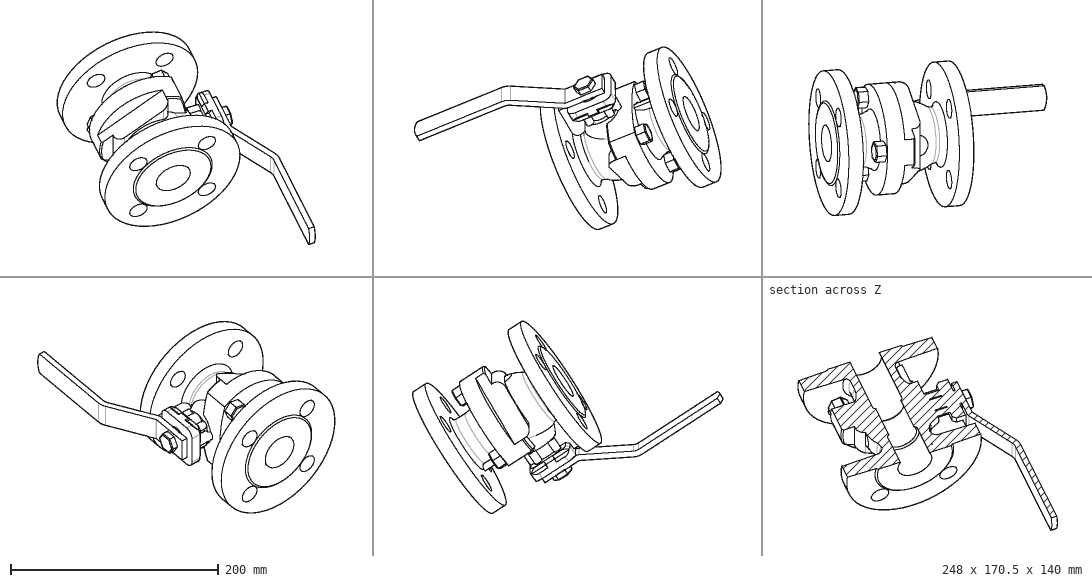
import cadquery as cq
import math

LENGTH = 130.0
OVERALL_Y = 170.5
BORE_RADIUS = 17.5
BALL_BORE_RADIUS = 15.9
BALL_BORE_START = 59.5
BALL_BORE_END = 96.7
BORE_STEP = BORE_RADIUS - BALL_BORE_RADIUS

FLANGE_RADIUS = 140.0 / 2
RAISED_FACE_RADIUS = 39.0
RAISED_FOOT_RADIUS = 41.0
RAISED_FACE_HEIGHT = 1.5
FLANGE_RIM_START = 2.2
FLANGE_RIM_END = 16.9
FLANGE_BACK = 17.8
FLANGE_HOLE_RADIUS = 9.0
FLANGE_HOLE_OFFSET = 35.5
FLANGE_HOLE_DEPTH = 24.8

NECK_RADIUS = 25.3
NECK_FILLET = 4.5
NECK_END = 32.7
BALL_CENTER = 81.3
BALL_RADIUS = 34.7
WAIST_X = 105.5
WAIST_RADIUS = 27.0
BALL_END = 101.6
BALL_FLAT = 33.0
THROAT_RADIUS = 31.7

CAP_START = 45.5
CAP_END = 63.5
CAP_RADIUS = 107.3 / 2
LUG_END = 73.9
LUG_CHAMFER = 1.5
PAD_END = 84.3
FLAT_DISTANCE = 37.2
STEM_SIDE_CREST = 37.2
STEM_SIDE_EDGE = 31.2
PAD_TOP = 15.0
PAD_BOTTOM = -40.2
PAD_ROUND_LENGTH = 10.0
PAD_ROUND_HEIGHT = 7.5
ROUND_SHOULDER = math.sqrt(0.5)

BOLT_CIRCLE_RADIUS = 42.5
BOLT_ANGLES = (60, 180, 300)
BOLT_HEAD_START = 35.2
BOLT_ACROSS_CORNERS = 20.0
BOLT_TURN = 70.0
HEX_CHAMFER = 1.0

STEM_X = 77.8
COLLAR_BASE = 19.8
COLLAR_BASE_RADIUS = 26.8
COLLAR_TOP = 39.5
COLLAR_TOP_RADIUS = 17.0
STEM_CORE_RADIUS = 11.5
BOSS_RADIUS = 7.0
BOSS_TOP = 50.3
POST_RADIUS = 4.0
POST_OFFSET = 11.0
CAP_SIDE_POST_RADIUS = 5.2
CAP_SIDE_POST_OFFSET = 15.9
MOUNT_WIDTH = 46.5
MOUNT_CORNER = 8.2
MOUNT_BOTTOM = 51.5
MOUNT_TOP = 64.5
MOUNT_CHAMFER = 3.2
RELIEF_TOP = 58.5
RELIEF_DEPTH = 3.0
RELIEF_GAP = 10.2
SPACER_RADIUS = 12.5

LEVER_START = 60.5
LEVER_END = 248.0
LEVER_WIDTH = 24.5
LEVER_THICKNESS = 6.0
LEVER_BOTTOM = 66.0
LEVER_TOP = OVERALL_Y - FLANGE_RADIUS
LEVER_ANGLE = 30.0
LEVER_FIRST_BEND = 101.0
FIRST_BEND_RADIUS = 1.2
SECOND_BEND_RADIUS = 10.5
LEVER_END_BULGE = 2.7
NUT_ACROSS_CORNERS = 21.0
NUT_HEIGHT = 6.5

RIB_THICKNESS = 6.0
CAP_RIB_HEIGHT = 32.0
BODY_RIB_START = 89.2
BODY_RIB_HEIGHT = 61.5


def turned(outline):
    """Revolve a closed outline in X and radius about the bore axis."""
    return outline.close().revolve(360, (0, 0, 0), (1, 0, 0))


def end_flange():
    """Near-end flange with raised face and four bolt holes."""
    flange = turned(
        cq.Workplane("XY")
        .moveTo(0, 0)
        .lineTo(0, RAISED_FACE_RADIUS)
        .lineTo(RAISED_FACE_HEIGHT, RAISED_FOOT_RADIUS)
        .lineTo(FLANGE_RIM_START, FLANGE_RADIUS)
        .lineTo(FLANGE_RIM_END, FLANGE_RADIUS)
        .lineTo(FLANGE_BACK, NECK_RADIUS)
        .lineTo(FLANGE_BACK, 0)
    )
    holes = (
        cq.Workplane("YZ")
        .rect(2 * FLANGE_HOLE_OFFSET, 2 * FLANGE_HOLE_OFFSET, forConstruction=True)
        .vertices()
        .circle(FLANGE_HOLE_RADIUS)
        .extrude(FLANGE_HOLE_DEPTH)
    )
    return flange.cut(holes)


def cap_neck():
    """Neck from the near flange to the end cap, flared at both ends."""
    flare_length = CAP_START - NECK_END
    flare_radius = (flare_length ** 2 + NECK_FILLET ** 2) / (2 * NECK_FILLET)
    return turned(
        cq.Workplane("XY")
        .moveTo(FLANGE_BACK, 0)
        .lineTo(FLANGE_BACK, NECK_RADIUS + NECK_FILLET)
        .radiusArc((FLANGE_BACK + NECK_FILLET, NECK_RADIUS), -NECK_FILLET)
        .lineTo(NECK_END, NECK_RADIUS)
        .radiusArc((CAP_START, NECK_RADIUS + NECK_FILLET), -flare_radius)
        .lineTo(CAP_START, 0)
    )


def ball_housing():
    """Spherical body with a small flat, narrowing to a waist and flaring out to the far flange."""
    def ball_height(x):
        return math.sqrt(BALL_RADIUS ** 2 - (x - BALL_CENTER) ** 2)

    housing = turned(
        cq.Workplane("XY")
        .moveTo(CAP_END, 0)
        .lineTo(CAP_END, ball_height(CAP_END))
        .threePointArc((BALL_CENTER, BALL_RADIUS), (BALL_END, ball_height(BALL_END)))
        .lineTo(WAIST_X, WAIST_RADIUS)
        .radiusArc((LENGTH - FLANGE_BACK, THROAT_RADIUS), -(LENGTH - FLANGE_BACK - WAIST_X))
        .lineTo(LENGTH - FLANGE_BACK, 0)
    )
    waste = cq.Workplane("XZ", origin=(BALL_CENTER, -BALL_FLAT, 0)).circle(BALL_RADIUS / 2)
    return housing.cut(waste.extrude(BALL_RADIUS - BALL_FLAT))


def stem_side_disc(start, end):
    """Round disc flattened to a shallow arc on the stem side."""
    edge_z = math.sqrt(CAP_RADIUS ** 2 - STEM_SIDE_EDGE ** 2)
    return (
        cq.Workplane("YZ", origin=(start, 0, 0))
        .moveTo(STEM_SIDE_EDGE, -edge_z)
        .threePointArc((STEM_SIDE_CREST, 0), (STEM_SIDE_EDGE, edge_z))
        .threePointArc((-CAP_RADIUS, 0), (STEM_SIDE_EDGE, -edge_z))
        .close()
        .extrude(end - start)
    )


def with_flats(disc):
    """Cut the two slanted flats that leave the bolt lugs standing."""
    size = 4 * CAP_RADIUS
    for angle in (120, 240):
        waste = (
            cq.Workplane("XY")
            .box(size, size, size)
            .translate((0, FLAT_DISTANCE + size / 2, 0))
            .rotate((0, 0, 0), (1, 0, 0), angle)
        )
        disc = disc.cut(waste)
    return disc


def body_joint():
    """Lobed body flange with thicker pads, rounded towards the ball."""
    round_start = PAD_END - PAD_ROUND_LENGTH
    shoulder_x = round_start + PAD_ROUND_LENGTH * ROUND_SHOULDER
    shoulder_drop = PAD_ROUND_HEIGHT * (1 - ROUND_SHOULDER)
    limits = (
        cq.Workplane("XY", origin=(0, 0, -CAP_RADIUS))
        .moveTo(CAP_END, PAD_BOTTOM)
        .lineTo(round_start, PAD_BOTTOM)
        .threePointArc((shoulder_x, PAD_BOTTOM + shoulder_drop), (PAD_END, PAD_BOTTOM + PAD_ROUND_HEIGHT))
        .lineTo(PAD_END, PAD_TOP - PAD_ROUND_HEIGHT)
        .threePointArc((shoulder_x, PAD_TOP - shoulder_drop), (round_start, PAD_TOP))
        .lineTo(CAP_END, PAD_TOP)
        .close()
        .extrude(2 * CAP_RADIUS)
    )
    lugs = with_flats(stem_side_disc(CAP_END, LUG_END).faces(">X").chamfer(LUG_CHAMFER))
    pads = with_flats(stem_side_disc(CAP_END, PAD_END)).intersect(limits)
    return lugs.union(pads)


def joint_bolt(angle):
    """Hexagon head standing on the end cap."""
    y = BOLT_CIRCLE_RADIUS * math.cos(math.radians(angle))
    z = BOLT_CIRCLE_RADIUS * math.sin(math.radians(angle))
    return (
        cq.Workplane("YZ")
        .polygon(6, BOLT_ACROSS_CORNERS)
        .extrude(CAP_START - BOLT_HEAD_START)
        .faces("<X")
        .chamfer(HEX_CHAMFER)
        .rotate((0, 0, 0), (1, 0, 0), BOLT_TURN)
        .translate((BOLT_HEAD_START, y, z))
    )


def stem_plane(height):
    """Plane across the stem axis; extrude by a negative length to go up the stem."""
    return cq.Workplane("XZ", origin=(STEM_X, height, 0))


def mounting_flange():
    """Square flange with rounded corners, chamfered below and relieved on the Z faces."""
    flange = (
        stem_plane(MOUNT_BOTTOM)
        .rect(MOUNT_WIDTH, MOUNT_WIDTH)
        .extrude(MOUNT_BOTTOM - MOUNT_TOP)
        .edges("|Y")
        .fillet(MOUNT_CORNER)
        .faces("<Y")
        .chamfer(MOUNT_CHAMFER)
    )
    face_z = MOUNT_WIDTH / 2
    relief = (
        cq.Workplane("YZ", origin=(STEM_X, 0, 0))
        .moveTo(RELIEF_TOP, face_z)
        .lineTo(RELIEF_TOP - RELIEF_DEPTH, face_z - RELIEF_DEPTH)
        .lineTo(MOUNT_BOTTOM, face_z - RELIEF_DEPTH)
        .lineTo(MOUNT_BOTTOM, face_z)
        .close()
        .extrude(MOUNT_WIDTH / 2)
        .translate((RELIEF_GAP / 2, 0, 0))
    )
    for angle in (0, 180):
        turned_relief = relief.rotate((STEM_X, 0, 0), (STEM_X, 1, 0), angle)
        opposite_relief = turned_relief.mirror("XY")
        flange = flange.cut(turned_relief).cut(opposite_relief)
    return flange


def stem_column():
    """Conical collar, core, bosses and posts carrying the mounting flange."""
    collar = (
        cq.Workplane("XY")
        .moveTo(STEM_X, COLLAR_BASE)
        .lineTo(STEM_X + COLLAR_BASE_RADIUS, COLLAR_BASE)
        .lineTo(STEM_X + COLLAR_TOP_RADIUS, COLLAR_TOP)
        .lineTo(STEM_X, COLLAR_TOP)
        .close()
        .revolve(360, (STEM_X, 0, 0), (STEM_X, 1, 0))
    )
    core = stem_plane(COLLAR_BASE).circle(STEM_CORE_RADIUS).extrude(COLLAR_BASE - MOUNT_TOP)
    front_boss = (
        stem_plane(COLLAR_BASE)
        .center(0, COLLAR_TOP_RADIUS - BOSS_RADIUS)
        .circle(BOSS_RADIUS)
        .extrude(COLLAR_BASE - BOSS_TOP)
    )
    cap_side_post = (
        stem_plane(COLLAR_BASE)
        .center(-CAP_SIDE_POST_OFFSET, 0)
        .circle(CAP_SIDE_POST_RADIUS)
        .extrude(COLLAR_BASE - MOUNT_TOP)
    )
    corner_posts = (
        stem_plane(COLLAR_TOP)
        .rect(2 * POST_OFFSET, 2 * POST_OFFSET, forConstruction=True)
        .vertices()
        .circle(POST_RADIUS)
        .extrude(COLLAR_TOP - MOUNT_TOP)
    )
    spacer = stem_plane(MOUNT_TOP).circle(SPACER_RADIUS).extrude(MOUNT_TOP - LEVER_BOTTOM)
    column = collar.union(core).union(front_boss).union(cap_side_post)
    return column.union(corner_posts).union(mounting_flange()).union(spacer)


def lever():
    """Flat bar cranked outwards in two bends, with a bowed tip."""
    rise = LEVER_TOP - LEVER_THICKNESS - LEVER_BOTTOM
    run = rise / math.tan(math.radians(LEVER_ANGLE))
    second_bend = LEVER_FIRST_BEND + run
    miter = LEVER_THICKNESS * math.tan(math.radians(LEVER_ANGLE / 2))
    low_top = LEVER_BOTTOM + LEVER_THICKNESS
    high_bottom = LEVER_TOP - LEVER_THICKNESS
    bar = (
        cq.Workplane("XY", origin=(0, 0, -LEVER_WIDTH / 2))
        .moveTo(LEVER_START, LEVER_BOTTOM)
        .lineTo(LEVER_FIRST_BEND + miter / 2, LEVER_BOTTOM)
        .lineTo(second_bend + miter / 2, high_bottom)
        .lineTo(LEVER_END, high_bottom)
        .lineTo(LEVER_END, LEVER_TOP)
        .lineTo(second_bend - miter / 2, LEVER_TOP)
        .lineTo(LEVER_FIRST_BEND - miter / 2, low_top)
        .lineTo(LEVER_START, low_top)
        .close()
        .extrude(LEVER_WIDTH)
    )

    def bend_edge(x, y):
        return cq.selectors.NearestToPointSelector((x, y, 0))

    bends = (
        (LEVER_FIRST_BEND - miter / 2, low_top, FIRST_BEND_RADIUS),
        (LEVER_FIRST_BEND + miter / 2, LEVER_BOTTOM, FIRST_BEND_RADIUS + LEVER_THICKNESS),
        (second_bend + miter / 2, high_bottom, SECOND_BEND_RADIUS),
        (second_bend - miter / 2, LEVER_TOP, SECOND_BEND_RADIUS + LEVER_THICKNESS),
    )
    for x, y, radius in bends:
        bar = bar.edges("|Z").edges(bend_edge(x, y)).fillet(radius)

    shoulder = LEVER_END - LEVER_END_BULGE
    plan = (
        cq.Workplane("XZ")
        .moveTo(LEVER_START, -LEVER_WIDTH / 2)
        .lineTo(shoulder, -LEVER_WIDTH / 2)
        .threePointArc((LEVER_END, 0), (shoulder, LEVER_WIDTH / 2))
        .lineTo(LEVER_START, LEVER_WIDTH / 2)
        .close()
        .extrude(-LEVER_TOP)
    )
    return bar.intersect(plan)


def lever_nut():
    """Hexagon nut holding the lever on the stem."""
    return (
        stem_plane(LEVER_BOTTOM + LEVER_THICKNESS)
        .polygon(6, NUT_ACROSS_CORNERS)
        .extrude(-NUT_HEIGHT)
        .faces(">Y")
        .chamfer(HEX_CHAMFER)
    )


def rib(start, end, height):
    """Plate on the stem side, from just outside the bore up to a height."""
    base = (BORE_RADIUS + NECK_RADIUS) / 2
    return (
        cq.Workplane("XY")
        .box(end - start, height - base, RIB_THICKNESS, centered=(False, False, True))
        .translate((start, base, 0))
    )


def bore():
    """Through bore, slightly narrower inside the ball."""
    return turned(
        cq.Workplane("XY")
        .moveTo(0, 0)
        .lineTo(0, BORE_RADIUS)
        .lineTo(BALL_BORE_START, BORE_RADIUS)
        .lineTo(BALL_BORE_START + BORE_STEP, BALL_BORE_RADIUS)
        .lineTo(BALL_BORE_END - BORE_STEP, BALL_BORE_RADIUS)
        .lineTo(BALL_BORE_END, BORE_RADIUS)
        .lineTo(LENGTH, BORE_RADIUS)
        .lineTo(LENGTH, 0)
    )


near_flange = end_flange()
far_flange = near_flange.mirror("YZ").translate((LENGTH, 0, 0))

result = near_flange.union(cap_neck()).union(stem_side_disc(CAP_START, CAP_END))
result = result.union(body_joint()).union(ball_housing()).union(far_flange)
for bolt_angle in BOLT_ANGLES:
    result = result.union(joint_bolt(bolt_angle))
result = result.union(stem_column())
result = result.union(rib(FLANGE_BACK, CAP_START, CAP_RIB_HEIGHT))
result = result.union(rib(BODY_RIB_START, LENGTH - FLANGE_BACK, BODY_RIB_HEIGHT))
result = result.union(lever()).union(lever_nut()).cut(bore())